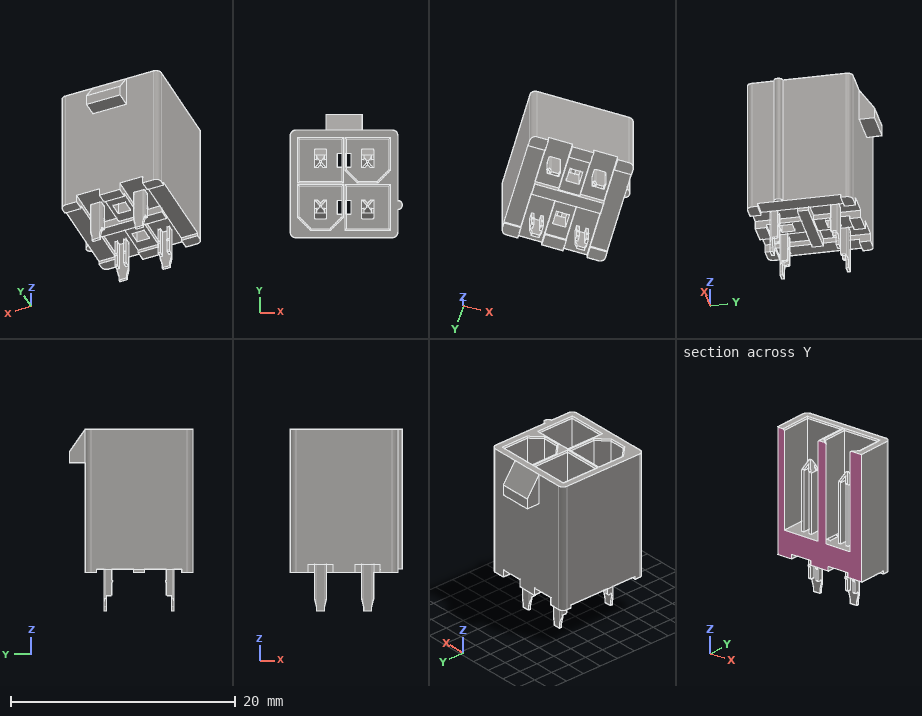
import cadquery as cq
import math

top_z = 16.2
tail_length = 3.42
base_z = tail_length
body_side = 9.6
half_side = body_side / 2
corner_radius = 0.52

pitch = 4.2
cavity_side = 3.8
mouth_bevel = 0.13
bevel_angle = 45
key_leg = 1.07
floor_thickness = 2.92
floor_z = base_z + floor_thickness
window_side = 1.2

latch_width = 3.25
latch_reach = 1.4
latch_height = 3.01
latch_slope_height = 2.0
bump_radius = 0.4
bump_reach = 0.39
bump_y = -1.88
bump_base_gap = 0.3

foot_width = 1.02
foot_height = 0.29
notch_width = 2.22
notch_height = 0.75
rib_width = 1.0
rib_length = pitch + notch_width

sheet = 0.25
terminal_width = 1.1
half_width = terminal_width / 2
terminal_back = 3.13
terminal_bend_radius = 0.15
blade_depth = 1.68
tail_depth = 0.71
tail_wall_z = 1.35
tail_wall_chamfer = 0.1
tail_taper_z = 1.12
tail_tip_z = 0.39
tail_tip_width = 0.73
barb_z = 2.65
barb_height = 0.25
barb_reach = 0.08

blade_recess = 2.92
tip_height = 0.97
lean_height = 0.49
front_edge_height = 0.11
tip_z = top_z - blade_recess
shoulder_z = tip_z - tip_height
lean_z = shoulder_z - lean_height
lean_reach = 0.53
tongue_back = terminal_back - lean_reach
tongue_width = 0.68
side_tongue_end = 2.17
tip_half_width = 0.08
tip_back = 2.07
tip_front = 1.91
blade_front = terminal_back - blade_depth
tail_front = terminal_back - tail_depth
plate_front = terminal_back - sheet
front_slope_z = shoulder_z + front_edge_height


def box(x_range, y_range, z_range):
    """Box between two limits along each axis."""
    (x0, x1), (y0, y1), (z0, z1) = x_range, y_range, z_range
    return cq.Workplane("XY").box(x1 - x0, y1 - y0, z1 - z0, centered=False).translate((x0, y0, z0))


def prism_along_x(points, width):
    """Y-Z outline extruded symmetrically about X = 0."""
    return cq.Workplane("YZ").polyline(points).close().extrude(width / 2, both=True)


def prism_along_y(points, reach):
    """X-Z outline extruded from Y = 0 to Y = reach."""
    return cq.Workplane("XZ").polyline(points).close().extrude(-reach)


def housing_block():
    return (
        cq.Workplane("XY")
        .workplane(offset=base_z)
        .rect(body_side, body_side)
        .extrude(top_z - base_z)
        .edges("|Z")
        .fillet(corner_radius)
    )


def latch():
    outer_y = half_side + latch_reach
    return prism_along_x(
        [
            (half_side, top_z),
            (outer_y, top_z - latch_slope_height),
            (outer_y, top_z - latch_height),
            (half_side, top_z - latch_height),
        ],
        latch_width,
    )


def side_bump():
    bottom_z = base_z + bump_base_gap
    return (
        cq.Workplane("XY")
        .workplane(offset=bottom_z)
        .center(half_side + bump_reach - bump_radius, bump_y)
        .circle(bump_radius)
        .extrude(top_z - bottom_z)
    )


def cavity_outline(side, leg):
    """Square; with leg > 0 its two -Y corners are cut at 45 degrees."""
    half = side / 2
    if leg == 0:
        return [(-half, -half), (half, -half), (half, half), (-half, half)]
    return [
        (-half + leg, -half),
        (half - leg, -half),
        (half, -half + leg),
        (half, half),
        (-half, half),
        (-half, -half + leg),
    ]


def cavity(x, y, keyed):
    leg = key_leg if keyed else 0
    return (
        cq.Workplane("XY")
        .workplane(offset=floor_z)
        .polyline(cavity_outline(cavity_side, leg))
        .close()
        .extrude(top_z - floor_z)
        .translate((x, y, 0))
    )


def cavity_mouth(x, y, keyed):
    leg = key_leg + mouth_bevel * (2 - math.sqrt(2)) if keyed else 0
    return (
        cq.Workplane("XY")
        .workplane(offset=top_z)
        .polyline(cavity_outline(cavity_side + 2 * mouth_bevel, leg))
        .close()
        .extrude(-mouth_bevel, taper=bevel_angle)
        .translate((x, y, 0))
    )


def underside_recess():
    """Shallow recess across X plus two deeper notch channels along Y, around a middle rib."""
    inner_y = half_side - foot_width
    recess = box((-half_side, half_side), (-inner_y, inner_y), (base_z, base_z + foot_height))
    for x in (-pitch / 2, pitch / 2):
        recess = recess.union(
            box(
                (x - notch_width / 2, x + notch_width / 2),
                (-half_side, half_side),
                (base_z, base_z + notch_height),
            )
        )
    rib = box(
        (-rib_length / 2, rib_length / 2),
        (-rib_width / 2, rib_width / 2),
        (base_z, base_z + notch_height),
    )
    return recess.cut(rib)


def make_housing():
    body = housing_block().union(latch()).union(side_bump())
    for column in (-1, 1):
        for row in (-1, 1):
            x = column * pitch / 2
            y = row * pitch / 2
            keyed = column == row
            body = body.cut(cavity(x, y, keyed)).cut(cavity_mouth(x, y, keyed))
    body = body.cut(underside_recess())
    half_window = window_side / 2
    for y in (-pitch / 2, pitch / 2):
        body = body.cut(
            box((-half_window, half_window), (y - half_window, y + half_window), (base_z, floor_z))
        )
    return body


def terminal_blank():
    """Full-size block with the two bend corners rounded."""
    return (
        box((-half_width, half_width), (0, terminal_back), (0, tip_z))
        .edges("|Z and >Y")
        .fillet(terminal_bend_radius)
    )


def side_profile():
    """Y-Z silhouette: long blade above the cavity floor, barbed tail below it."""
    return prism_along_x(
        [
            (terminal_back, 0),
            (terminal_back, lean_z),
            (tongue_back, shoulder_z),
            (tip_back, tip_z),
            (tip_front, tip_z),
            (blade_front, front_slope_z),
            (blade_front, floor_z),
            (tail_front, floor_z),
            (tail_front, barb_z + barb_height / 2),
            (tail_front - barb_reach, barb_z),
            (tail_front, barb_z - barb_height / 2),
            (tail_front, tail_wall_z + tail_wall_chamfer),
            (tail_front + tail_wall_chamfer, tail_wall_z),
            (plate_front, tail_wall_z),
            (plate_front, 0),
        ],
        terminal_width,
    )


def front_profile():
    """X-Z silhouette: narrow solder tip below, walls leaning together above."""
    half_tip = tail_tip_width / 2
    right = [
        (half_tip, 0),
        (half_tip, tail_tip_z),
        (half_width, tail_taper_z),
        (half_width, shoulder_z),
        (tip_half_width, tip_z),
    ]
    left = [(-x, z) for x, z in reversed(right)]
    return prism_along_y(right + left, terminal_back)


def channel_interior():
    """Space between the sheet walls, following their lean up to a ridge."""
    half_inner = half_width - sheet
    ridge_z = shoulder_z + half_inner * (tip_z - shoulder_z) / (half_width - tip_half_width)
    between_sides = prism_along_y(
        [
            (-half_inner, 0),
            (half_inner, 0),
            (half_inner, shoulder_z),
            (0, ridge_z),
            (-half_inner, shoulder_z),
        ],
        terminal_back,
    )
    before_back = prism_along_x(
        [
            (0, 0),
            (plate_front, 0),
            (plate_front, lean_z),
            (tongue_back - sheet, shoulder_z),
            (tip_back - sheet, tip_z),
            (0, tip_z),
        ],
        terminal_width,
    )
    return between_sides.intersect(before_back)


def tongue_gap(side):
    """Corner removed between the back tongue and one side tongue."""
    inner_x = side * tongue_width / 2
    x_range = sorted((inner_x, side * half_width))
    return box(x_range, (side_tongue_end, terminal_back), (shoulder_z, tip_z))


def make_terminal(x, row):
    """Terminal at column x; row is +1 for the +Y row and -1 for the -Y row."""
    terminal = terminal_blank().intersect(side_profile()).intersect(front_profile())
    terminal = terminal.cut(channel_interior())
    for side in (-1, 1):
        terminal = terminal.cut(tongue_gap(side))
    if row < 0:
        terminal = terminal.rotate((0, 0, 0), (0, 0, 1), 180)
    return terminal.translate((x, 0, 0))


terminals = [make_terminal(x, row) for x in (-pitch / 2, pitch / 2) for row in (-1, 1)]

housing = make_housing()
for terminal in terminals:
    housing = housing.cut(terminal)

result = cq.Compound.makeCompound([housing.val(), *[terminal.val() for terminal in terminals]])